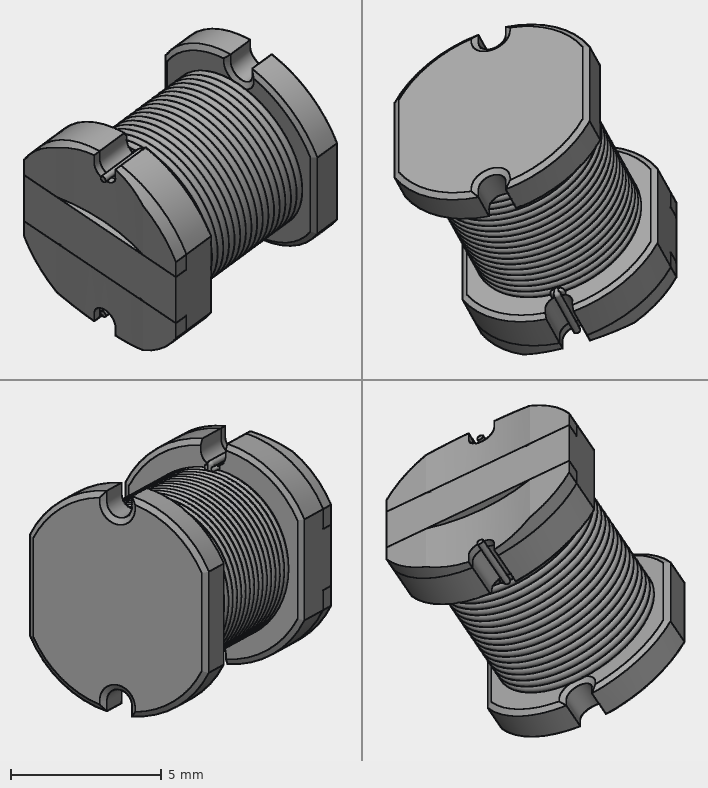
import cadquery as cq
import math


length = 7.9
width = 7.0
height = 7.8
front_face = -length / 2
back_face = length / 2

front_flange_thickness = 1.8
back_flange_thickness = 1.2
front_flange_inner = front_face + front_flange_thickness
back_flange_inner = back_face - back_flange_thickness
bevel_depth = 0.205
front_bevel_length = 0.1
back_bevel_length = 0.13
notch_width = 0.98
notch_radius = notch_width / 2
notch_floor = 3.04
notch_center = notch_floor + notch_radius
flange_radius = math.hypot(height / 2, notch_radius)

terminal_thickness = 0.505
band_height = 2.165
scoop_width = 3.98
scoop_depth = 0.25

turns = 18
coil_radius = 3.0
wire_diameter = 0.3
ridge_height = 0.09
coil_length = back_flange_inner - front_flange_inner
pitch = coil_length / turns
barrel_radius = coil_radius - wire_diameter

lead_diameter = 0.24
lead_radius = lead_diameter / 2
lead_height = notch_floor + lead_radius
end_setback = 0.16
lead_end = front_face + end_setback
bend_overhang = 0.26
post_y = front_flange_inner + bend_overhang - lead_radius
foot_width = 0.5
foot_depth = 0.24
foot_top = 3.1
foot_corner_radius = 0.13
foot_edge_radius = 0.05
foot_bottom = coil_radius - wire_diameter / 2


def disc_outline():
    """Disc with a flat on each side, in the XZ plane."""
    disc = cq.Sketch().circle(flange_radius)
    sides = cq.Sketch().rect(width, 2 * flange_radius)
    return disc * sides


def notch_outline():
    """Round-floored slots open at the top and bottom of a flange."""
    slots = cq.Sketch()
    slots.push([(0, notch_center), (0, -notch_center)]).circle(notch_radius).reset()
    outer_center = notch_center + notch_radius
    slots.push([(0, outer_center), (0, -outer_center)]).rect(notch_width, notch_width)
    return slots.reset().clean()


def prism(outline, start, end, inset=0):
    """Extrude an outline along Y from start to end; an inset shrinks it evenly towards the end."""
    run = abs(end - start)
    taper = math.degrees(math.atan(inset / run))
    if end > start:
        plane = cq.Plane(origin=(0, start, 0), xDir=(-1, 0, 0), normal=(0, 1, 0))
    else:
        plane = cq.Plane(origin=(0, start, 0), xDir=(1, 0, 0), normal=(0, -1, 0))
    return cq.Workplane(plane).placeSketch(outline).extrude(run, taper=taper)


def make_front_flange():
    """Flange bevelled on its inner rim only; the notches are cut straight through."""
    bevel_start = front_flange_inner - front_bevel_length
    flange = prism(disc_outline(), front_face, bevel_start)
    flange = flange.union(prism(disc_outline(), bevel_start, front_flange_inner, bevel_depth))
    return flange.cut(prism(notch_outline(), front_face, front_flange_inner))


def make_back_flange():
    """Flange bevelled on both faces, around the notches too."""
    outline = disc_outline() - notch_outline()
    inner_bevel = back_flange_inner + back_bevel_length
    outer_bevel = back_face - back_bevel_length
    flange = prism(outline, inner_bevel, outer_bevel)
    flange = flange.union(prism(outline, outer_bevel, back_face, bevel_depth))
    return flange.union(prism(outline, inner_bevel, back_flange_inner, bevel_depth))


def terminal_zone(side):
    """Block that holds one terminal: side is 1 for the upper one and -1 for the lower one."""
    zone = cq.Workplane("XY").box(width, terminal_thickness, height)
    zone_y = front_face + terminal_thickness / 2
    return zone.translate((0, zone_y, side * (band_height + height) / 2))


def make_core(front_flange):
    """Both flanges joined by the barrel, with room left for the terminals."""
    for side in (1, -1):
        front_flange = front_flange.cut(terminal_zone(side))
    barrel = prism(cq.Sketch().circle(barrel_radius), front_flange_inner, back_flange_inner)
    return front_flange.union(barrel).union(make_back_flange())


def make_terminal(front_flange, side):
    """One terminal pad, with a shallow cylindrical scoop in its face."""
    scoop = (
        cq.Workplane("XY", origin=(0, 0, -height))
        .moveTo(-scoop_width / 2, front_face)
        .threePointArc((0, front_face + scoop_depth), (scoop_width / 2, front_face))
        .close()
        .extrude(2 * height)
    )
    return front_flange.intersect(terminal_zone(side)).cut(scoop)


def make_turns():
    """Sleeve around the barrel with one rounded ridge per turn."""
    valley_radius = coil_radius - ridge_height
    profile = cq.Workplane("YZ").moveTo(front_flange_inner, barrel_radius)
    profile = profile.lineTo(front_flange_inner, valley_radius)
    for turn in range(turns):
        start = front_flange_inner + turn * pitch
        profile = profile.threePointArc((start + pitch / 2, coil_radius), (start + pitch, valley_radius))
    profile = profile.lineTo(back_flange_inner, barrel_radius).close()
    return profile.revolve(360, (0, 0, 0), (1, 0, 0))


def make_lead():
    """Upper lead: lies in the notch, bends down behind the flange and ends in a rounded foot."""
    run = cq.Workplane("XZ", origin=(0, post_y, lead_height)).circle(lead_radius)
    run = run.extrude(post_y - lead_end)
    bend = cq.Workplane("XY").sphere(lead_radius).translate((0, post_y, lead_height))
    post = cq.Workplane("XY", origin=(0, post_y, foot_bottom)).circle(lead_radius)
    post = post.extrude(lead_height - foot_bottom)
    foot = (
        cq.Workplane("XY", origin=(0, front_flange_inner + foot_depth / 2, foot_bottom))
        .rect(foot_width, foot_depth)
        .extrude(foot_top - foot_bottom)
        .edges("|Z and >Y")
        .fillet(foot_corner_radius)
        .faces(">Z")
        .edges("not <Y")
        .fillet(foot_edge_radius)
    )
    return run.union(bend).union(post).union(foot)


def make_winding():
    """The turns with their two leads, all one wire."""
    upper_lead = make_lead()
    lower_lead = upper_lead.mirror("XY")
    return make_turns().union(upper_lead).union(lower_lead)


front_flange = make_front_flange()
core = make_core(front_flange)
winding = make_winding()
terminals = [make_terminal(front_flange, side) for side in (1, -1)]

result = cq.Compound.makeCompound(
    [core.solids().val(), winding.solids().val(), *[pad.solids().val() for pad in terminals]]
)